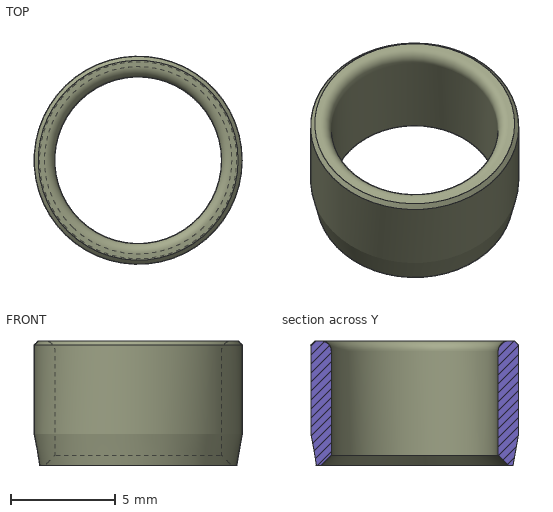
import cadquery as cq
import math

outer_diameter = 10.0
bore_diameter = 8.0
height = 6.0
top_chamfer = 0.2
entry_radius = 0.5
taper_height = 1.5
taper_angle = 10.0
bottom_bore_chamfer = 0.5

outer_radius = outer_diameter / 2
bore_radius = bore_diameter / 2
foot_radius = outer_radius - taper_height * math.tan(math.radians(taper_angle))


def bushing_profile():
    """Half section of the sleeve, with radius along X and height along the sketch's Y."""
    arc_offset = entry_radius * (1 - math.sqrt(0.5))
    return (
        cq.Workplane("XZ")
        .moveTo(bore_radius + bottom_bore_chamfer, 0)
        .lineTo(foot_radius, 0)
        .lineTo(outer_radius, taper_height)
        .lineTo(outer_radius, height - top_chamfer)
        .lineTo(outer_radius - top_chamfer, height)
        .lineTo(bore_radius + entry_radius, height)
        .threePointArc(
            (bore_radius + arc_offset, height - arc_offset),
            (bore_radius, height - entry_radius),
        )
        .lineTo(bore_radius, bottom_bore_chamfer)
        .close()
    )


result = bushing_profile().revolve(360, (0, 0, 0), (0, 1, 0))